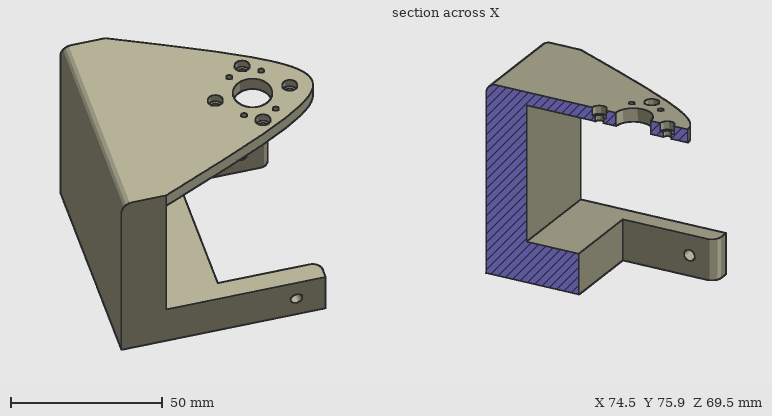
import cadquery as cq

width = 74.46
height = 69.5
wall_thickness = 15.4
bend_radius = 4.0

base_height = 15.0
base_floor_depth = 35.0
arm_reach = 70.0
arm_width = 7.0
arm_corner_radius = arm_width / 2
pivot_hole_diameter = 4.0
pivot_inset = 10.0

plate_thickness = 5.0
plate_reach = 75.88

pattern_center_y = 55.4
shaft_hole_diameter = 13.0
screw_offset = 12.75
screw_hole_diameter = 3.0
screw_head_diameter = 5.0
screw_head_depth = 3.0
pin_hole_diameter = 2.0
pin_offset_x = 9.0
pin_offset_y = 5.45


def make_wall():
    wall = cq.Workplane("XY").box(width, wall_thickness, height, centered=(True, False, False))
    return wall.edges("<Y and >Z").fillet(bend_radius)


def make_base():
    base = cq.Workplane("XY").box(width, arm_reach, base_height, centered=(True, False, False))
    slot_width = width - 2 * arm_width
    slot = (
        cq.Workplane("XY")
        .box(slot_width, arm_reach - base_floor_depth, base_height, centered=(True, False, False))
        .translate((0, base_floor_depth, 0))
    )
    inner_tip_zone = cq.selectors.BoxSelector(
        (-slot_width / 2 - arm_width / 2, base_floor_depth, 0),
        (slot_width / 2 + arm_width / 2, arm_reach + arm_width, base_height),
    )
    base = base.cut(slot).edges("|Z and >Y").edges(inner_tip_zone).fillet(arm_corner_radius)
    pivot_holes = (
        cq.Workplane("YZ")
        .center(arm_reach - pivot_inset, base_height / 2)
        .circle(pivot_hole_diameter / 2)
        .extrude(width / 2, both=True)
    )
    return base.cut(pivot_holes)


def make_plate():
    nose_control = (0, wall_thickness + (plate_reach - wall_thickness) * 4 / 3)
    right_root = (width / 2, wall_thickness)
    left_root = (-width / 2, wall_thickness)
    return (
        cq.Workplane("XY", origin=(0, 0, height - plate_thickness))
        .moveTo(*right_root)
        .bezier([right_root, nose_control, nose_control, left_root])
        .close()
        .extrude(plate_thickness)
    )


def cut_plate_holes(body):
    pin_positions = [(x, y) for x in (-pin_offset_x, pin_offset_x) for y in (-pin_offset_y, pin_offset_y)]
    screw_positions = [(screw_offset, 0), (-screw_offset, 0), (0, screw_offset), (0, -screw_offset)]
    top = cq.Workplane("XY", origin=(0, pattern_center_y, height))
    shaft_hole = top.circle(shaft_hole_diameter / 2).extrude(-plate_thickness)
    pin_holes = top.pushPoints(pin_positions).circle(pin_hole_diameter / 2).extrude(-plate_thickness)
    screw_holes = top.pushPoints(screw_positions).circle(screw_hole_diameter / 2).extrude(-plate_thickness)
    screw_heads = top.pushPoints(screw_positions).circle(screw_head_diameter / 2).extrude(-screw_head_depth)
    return body.cut(shaft_hole).cut(pin_holes).cut(screw_holes).cut(screw_heads)


bracket = make_wall().union(make_base()).union(make_plate())
result = cut_plate_holes(bracket)